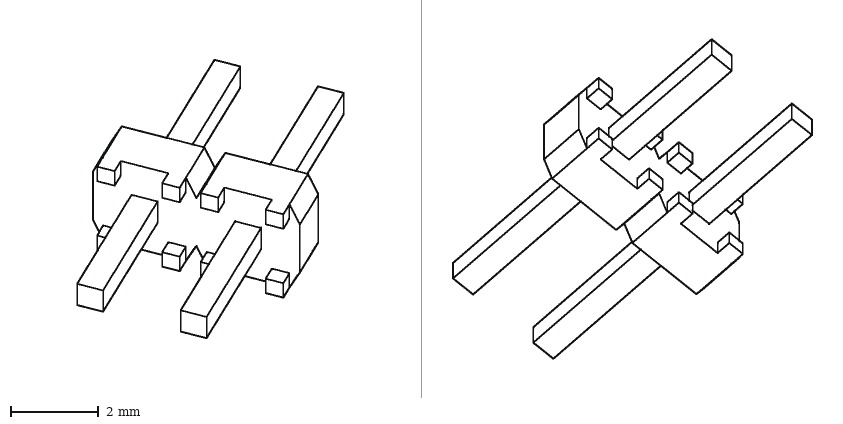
import cadquery as cq


housing_width = 5.08
pitch = housing_width / 2
housing_height = 2.49
housing_depth = 1.15
corner_width = 0.255
corner_height = 0.53

pin_length = 8.51
pin_size = 0.64
pin_back_length = 3.98

foot_size = 0.43
foot_length = 0.38

pin_front_y = -pin_length / 2
housing_back_y = pin_length / 2 - pin_back_length
housing_front_y = housing_back_y - housing_depth
foot_front_y = housing_front_y - foot_length

integral_pin_x = -pitch / 2
inserted_pin_x = pitch / 2
position_centres = [integral_pin_x, inserted_pin_x]


def make_bar(size, front_y, length, x, z=0):
    """Square bar along Y, centred on (x, z), with its front end at front_y."""
    return cq.Workplane("XY").box(size, length, size).translate((x, front_y + length / 2, z))


def make_pin(x):
    """Square pin through the full depth of the part."""
    return make_bar(pin_size, pin_front_y, pin_length, x)


def make_block(x):
    """Eight-sided block around one pin position."""
    side_x = pitch / 2
    flat_x = side_x - corner_width
    top_z = housing_height / 2
    side_z = top_z - corner_height
    outline = [
        (-side_x, -side_z),
        (-flat_x, -top_z),
        (flat_x, -top_z),
        (side_x, -side_z),
        (side_x, side_z),
        (flat_x, top_z),
        (-flat_x, top_z),
        (-side_x, side_z),
    ]
    return (
        cq.Workplane("XZ", origin=(x, housing_back_y, 0))
        .polyline(outline)
        .close()
        .extrude(housing_depth)
    )


def make_feet(x):
    """Four standoff feet in the corners of one pin position."""
    foot_x = pitch / 2 - corner_width - foot_size / 2
    foot_z = (housing_height - foot_size) / 2
    return [
        make_bar(foot_size, foot_front_y, foot_length, x + side * foot_x, level * foot_z)
        for side in (-1, 1)
        for level in (-1, 1)
    ]


def make_housing():
    """Joined blocks with feet, the integral pin and the hole for the other pin."""
    housing = make_pin(integral_pin_x)
    for x in position_centres:
        housing = housing.union(make_block(x))
        for foot in make_feet(x):
            housing = housing.union(foot)
    return housing.clean().cut(make_pin(inserted_pin_x))


housing = make_housing()
inserted_pin = make_pin(inserted_pin_x)

result = cq.Compound.makeCompound([housing.solids().val(), inserted_pin.val()])